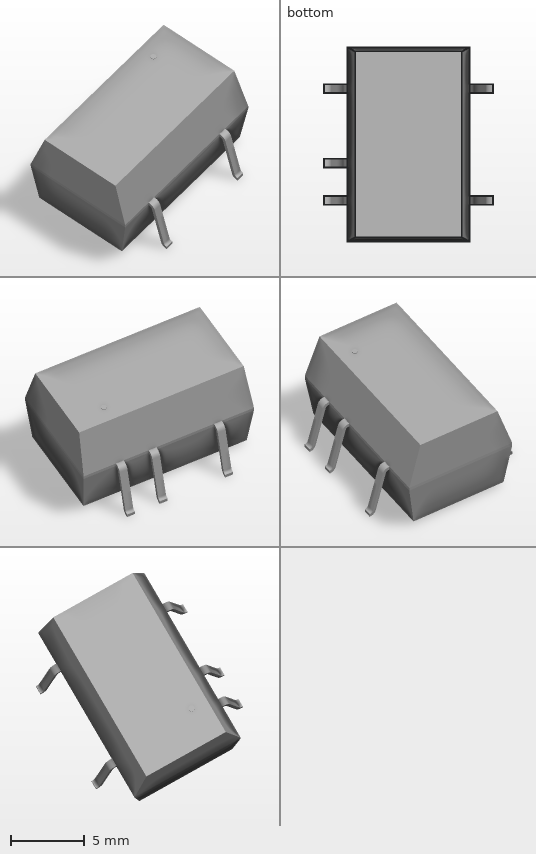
import cadquery as cq
import math

BODY_WIDTH = 8.31
BODY_LENGTH = 13.21
TOP_WIDTH = 6.22
TOP_LENGTH = 12.76
BOTTOM_WIDTH = 7.27
BOTTOM_LENGTH = 12.65

OVERALL_HEIGHT = 7.24
BODY_BOTTOM = 0.25
BAND_BOTTOM = 3.62

LEAD_SPAN = 11.5
LEAD_THICKNESS = 0.25
LEAD_WIDTH = 0.61
LEAD_PITCH = 2.54
INNER_BEND = 0.25
SPLAY_ANGLE = math.radians(15)

MARKER_DIAMETER = 0.41
MARKER_HEIGHT = 0.05
MARKER_X = -1.9

BAND_TOP = BAND_BOTTOM + LEAD_THICKNESS
BODY_TOP = OVERALL_HEIGHT - MARKER_HEIGHT
OUTER_BEND = INNER_BEND + LEAD_THICKNESS
PIN_1_Y = 1.5 * LEAD_PITCH
PIN_2_Y = PIN_1_Y - LEAD_PITCH
LAST_PIN_Y = -PIN_1_Y
LEFT_PINS_Y = [PIN_1_Y, PIN_2_Y, LAST_PIN_Y]
RIGHT_PINS_Y = [PIN_1_Y, LAST_PIN_Y]


def make_tapered_block(base_size, base_z, end_size, end_z):
    """Straight-sided block between two centred rectangles."""
    return (
        cq.Workplane("XY", origin=(0, 0, base_z))
        .rect(*base_size)
        .workplane(offset=end_z - base_z)
        .rect(*end_size)
        .loft(ruled=True)
    )


def make_housing():
    band_size = (BODY_WIDTH, BODY_LENGTH)
    lower = make_tapered_block((BOTTOM_WIDTH, BOTTOM_LENGTH), BODY_BOTTOM, band_size, BAND_BOTTOM)
    band = make_tapered_block(band_size, BAND_BOTTOM, band_size, BAND_TOP)
    upper = make_tapered_block(band_size, BAND_TOP, (TOP_WIDTH, TOP_LENGTH), BODY_TOP)
    return lower.union(band).union(upper).solids()


def make_lead(y, side):
    """Lead centred at the given Y; side is +1 for +X and -1 for -X."""
    root_x = BODY_WIDTH / 2
    sweep = math.pi / 2 - SPLAY_ANGLE

    shoulder_z = BAND_TOP - OUTER_BEND
    foot_z = OUTER_BEND
    center_distance = INNER_BEND + OUTER_BEND
    center_drop = shoulder_z - foot_z
    center_run = (center_distance + center_drop * math.sin(SPLAY_ANGLE)) / math.cos(SPLAY_ANGLE)
    foot_x = LEAD_SPAN / 2
    shoulder_x = foot_x - center_run

    def shoulder(radius, angle):
        return (
            side * (shoulder_x + radius * math.sin(angle)),
            shoulder_z + radius * math.cos(angle),
        )

    def foot(radius, angle):
        return (
            side * (foot_x - radius * math.sin(angle)),
            foot_z - radius * math.cos(angle),
        )

    profile = (
        cq.Workplane("XZ", origin=(0, y + LEAD_WIDTH / 2, 0))
        .moveTo(side * root_x, BAND_TOP)
        .lineTo(*shoulder(OUTER_BEND, 0))
        .threePointArc(shoulder(OUTER_BEND, sweep / 2), shoulder(OUTER_BEND, sweep))
        .lineTo(*foot(INNER_BEND, sweep))
        .threePointArc(foot(INNER_BEND, sweep / 2), foot(INNER_BEND, 0))
        .lineTo(*foot(OUTER_BEND, 0))
        .threePointArc(foot(OUTER_BEND, sweep / 2), foot(OUTER_BEND, sweep))
        .lineTo(*shoulder(INNER_BEND, sweep))
        .threePointArc(shoulder(INNER_BEND, sweep / 2), shoulder(INNER_BEND, 0))
        .lineTo(side * root_x, BAND_BOTTOM)
        .close()
    )
    return profile.extrude(LEAD_WIDTH)


def make_marker():
    return (
        cq.Workplane("XY", origin=(MARKER_X, PIN_1_Y, BODY_TOP))
        .circle(MARKER_DIAMETER / 2)
        .extrude(MARKER_HEIGHT)
    )


housing = make_housing()
marker = make_marker()
leads = []
for pin_y in LEFT_PINS_Y:
    leads.append(make_lead(pin_y, -1))
for pin_y in RIGHT_PINS_Y:
    leads.append(make_lead(pin_y, 1))

result = cq.Compound.makeCompound([housing.val(), marker.val(), *[lead.val() for lead in leads]])